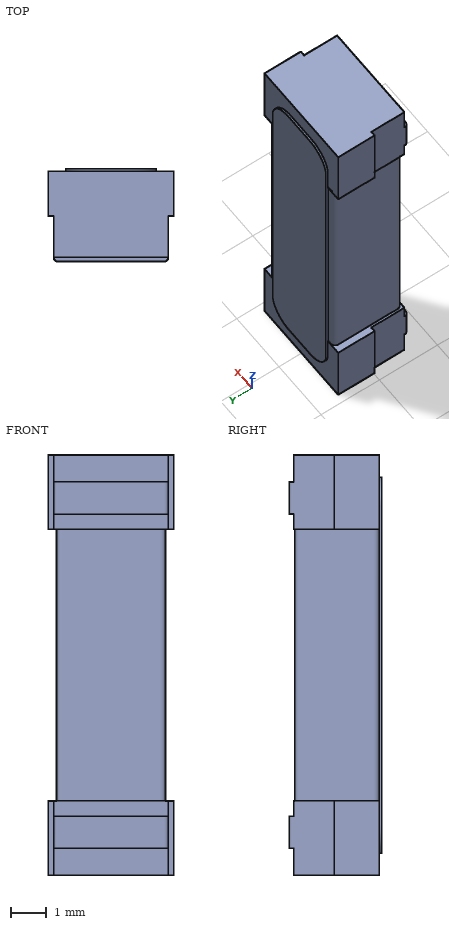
import cadquery as cq

length = 11.7

cap_height = 2.07
cap_depth = 2.39
cap_wide_width = 3.5
cap_narrow_width = 3.19
cap_step_depth = 1.25

body_width = 3.04
body_back_inset = 0.01
body_front_inset = 0.029
body_edge_radius = 0.15

pad_height = 0.9
pad_end_offset = 0.75
pad_thickness = 0.13
pad_edge_radius = 0.12

label_width = 2.53
label_height = 10.47
label_thickness = 0.07
label_corner_radius = 0.77


def make_block(width, y_front, y_back, z_bottom, height):
    """Box centred on X = 0 between two Y planes, standing on z_bottom."""
    depth = y_back - y_front
    block = cq.Workplane("XY").box(width, depth, height, centered=(True, False, False))
    return block.translate((0, y_front, z_bottom))


def make_body():
    """Central bar with all four long edges rounded; it reaches the middle of each cap."""
    height = length - cap_height
    y_front = -cap_depth + body_front_inset
    body = make_block(body_width, y_front, -body_back_inset, -height / 2, height)
    return body.edges("|Z").fillet(body_edge_radius)


def make_top_cap():
    """Upper end cap with its contact pad."""
    cap_bottom = length / 2 - cap_height
    wide = make_block(cap_wide_width, -cap_step_depth, 0, cap_bottom, cap_height)
    narrow = make_block(cap_narrow_width, -cap_depth, 0, cap_bottom, cap_height)

    pad_bottom = length / 2 - pad_end_offset - pad_height
    pad_front = -cap_depth - pad_thickness
    pad = make_block(cap_narrow_width, pad_front, -cap_step_depth, pad_bottom, pad_height)
    pad = pad.edges("|Z and <Y").fillet(pad_edge_radius)
    return wide.union(narrow).union(pad)


def make_label():
    """Rounded plate standing proud of the back, rooted in the body and caps."""
    root_depth = body_edge_radius
    label = make_block(label_width, -root_depth, label_thickness, -label_height / 2, label_height)
    return label.edges("|Y").fillet(label_corner_radius)


top_cap = make_top_cap()
bottom_cap = top_cap.mirror("XY")
result = make_body().union(top_cap).union(bottom_cap).union(make_label())